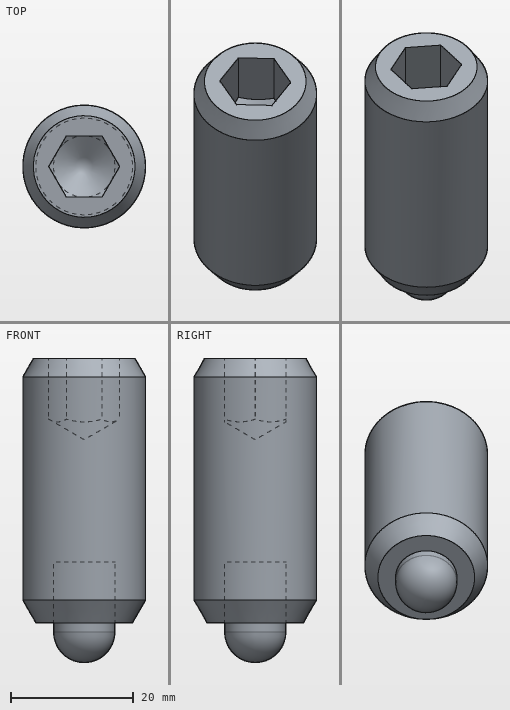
import cadquery as cq
import math

total_length = 49.5
pin_projection = 6.5

housing_radius = 10.0
top_face_radius = 8.25
bottom_face_radius = 7.85
chamfer_angle = 60
chamfer_slope = math.tan(math.radians(chamfer_angle))
top_chamfer_height = (housing_radius - top_face_radius) * chamfer_slope
bottom_chamfer_height = (housing_radius - bottom_face_radius) * chamfer_slope

socket_across_flats = 10.0
socket_depth = 9.9
socket_corner_radius = socket_across_flats / math.sqrt(3)
socket_cone_half_angle = 60
socket_cone_height = socket_corner_radius / math.tan(math.radians(socket_cone_half_angle))

pin_radius = 5.0
pin_insertion = 9.9
pin_top = pin_projection + pin_insertion


def make_socket():
    """Hexagonal prism, corners on the X axis, ending in a drill-point cone."""
    socket_tip = total_length - socket_depth - socket_cone_height
    prism = (
        cq.Workplane("XY", origin=(0, 0, socket_tip))
        .polygon(6, 2 * socket_corner_radius)
        .extrude(socket_depth + socket_cone_height)
    )
    drilled_hole = (
        cq.Workplane("XZ")
        .moveTo(0, socket_tip)
        .lineTo(socket_corner_radius, socket_tip + socket_cone_height)
        .lineTo(socket_corner_radius, total_length)
        .lineTo(0, total_length)
        .close()
        .revolve(360, (0, 0, 0), (0, 1, 0))
    )
    return prism.intersect(drilled_hole)


def make_housing():
    """Cylinder chamfered at both ends, with the socket above and the pin bore below."""
    blank = (
        cq.Workplane("XZ")
        .moveTo(0, pin_projection)
        .lineTo(bottom_face_radius, pin_projection)
        .lineTo(housing_radius, pin_projection + bottom_chamfer_height)
        .lineTo(housing_radius, total_length - top_chamfer_height)
        .lineTo(top_face_radius, total_length)
        .lineTo(0, total_length)
        .close()
        .revolve(360, (0, 0, 0), (0, 1, 0))
    )
    pin_bore = (
        cq.Workplane("XY", origin=(0, 0, pin_projection))
        .circle(pin_radius)
        .extrude(pin_insertion)
    )
    return blank.cut(make_socket()).cut(pin_bore)


def make_pin():
    """Cylinder with a hemispherical nose, filling the housing's bore."""
    nose_arc_reach = pin_radius * math.sin(math.radians(45))
    return (
        cq.Workplane("XZ")
        .moveTo(0, 0)
        .threePointArc((nose_arc_reach, pin_radius - nose_arc_reach), (pin_radius, pin_radius))
        .lineTo(pin_radius, pin_top)
        .lineTo(0, pin_top)
        .close()
        .revolve(360, (0, 0, 0), (0, 1, 0))
    )


housing = make_housing()
pin = make_pin()

result = cq.Compound.makeCompound([housing.val(), pin.val()])